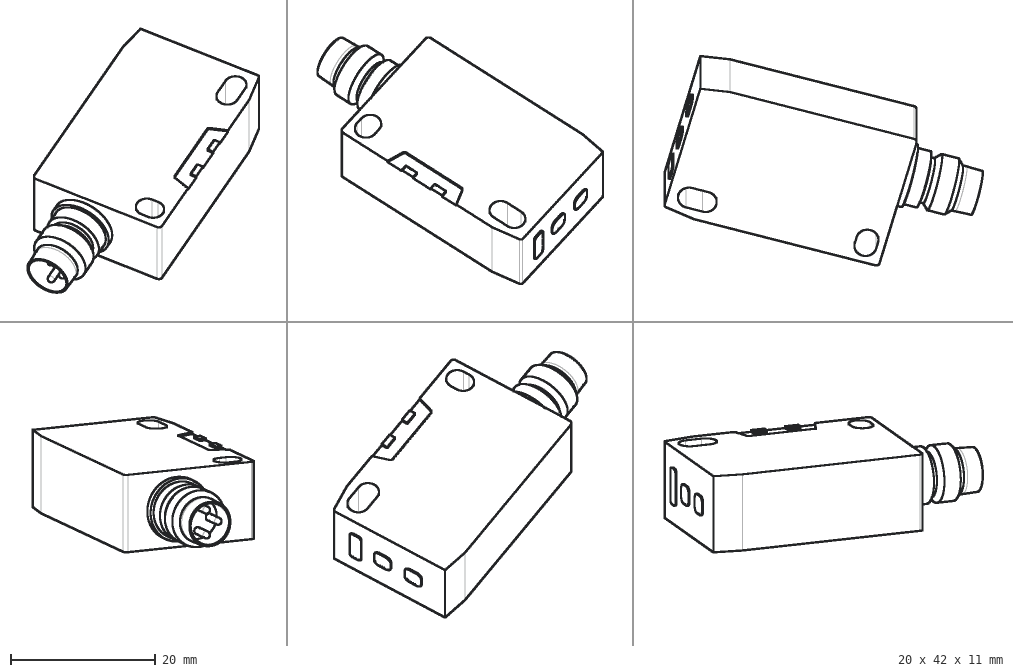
import cadquery as cq

overall_length = 42.05
body_width = 20.0
body_length = 31.1
body_height = 11.0
mid_height = body_height / 2
rear_corner_radius = 0.5
left_taper_inset = 0.65
left_taper_length = 4.08
right_taper_inset = 0.75
right_taper_length = 4.55
front_corner_radius = 0.35

slot_x = 17.02
slot_width = 3.05
front_slot_y = 26.95
front_slot_length = 5.45
rear_slot_y = 2.6
rear_slot_length = 4.05

recess_y = 14.3
recess_depth = 0.25
recess_reach = 2.7
recess_mouth_length = 11.98
recess_floor_length = 10.17
recess_corner_radius = 0.35

lamp_reach = 0.92
lamp_length = 1.98
lamp_count = 2
lamp_pitch = 5.05
lamp_height = recess_depth

window_thickness = 0.15
windows = [
    (5.9, 2.77, 2.77, 0.85),
    (10.95, 2.77, 2.77, 0.85),
    (15.45, 1.95, 5.3, 0.6),
]

plug_x = 8.0
plug_length = overall_length - body_length - window_thickness
flange_radius = 4.5
flange_end = 1.05
barrel_radius = 4.05
barrel_end = 3.1
neck_radius = 3.25
neck_start = 3.28
neck_end = 3.85
ring_chamfer = barrel_radius - neck_radius
ring_start = neck_end + ring_chamfer
ring_end = 7.1
nose_start = ring_end + ring_chamfer
nose_taper_start = 8.45
nose_tip_radius = 3.15

socket_radius = 2.95
socket_depth = 4.0
pin_radius = 0.5
pin_offset = 1.75
pin_recess = 0.65
pin_positions = [(0, pin_offset), (0, -pin_offset), (pin_offset, 0)]


def make_housing():
    outline = [
        (0, 0),
        (body_width, 0),
        (body_width, body_length - right_taper_length),
        (body_width - right_taper_inset, body_length),
        (left_taper_inset, body_length),
        (0, body_length - left_taper_length),
    ]
    housing = cq.Workplane("XY").polyline(outline).close().extrude(body_height)
    housing = housing.edges("|Z and <Y").fillet(rear_corner_radius)
    front_right_corner = cq.selectors.NearestToPointSelector(
        (body_width - right_taper_inset, body_length, mid_height)
    )
    return housing.edges("|Z").edges(front_right_corner).fillet(front_corner_radius)


def make_slot(y, length, angle):
    return (
        cq.Workplane("XY")
        .center(slot_x, y)
        .slot2D(length, slot_width, angle)
        .extrude(body_height)
    )


def make_recess():
    inner_x = body_width - recess_reach
    outline = [
        (body_width, recess_y - recess_mouth_length / 2),
        (body_width, recess_y + recess_mouth_length / 2),
        (inner_x, recess_y + recess_floor_length / 2),
        (inner_x, recess_y - recess_floor_length / 2),
    ]
    recess = (
        cq.Workplane("XY", origin=(0, 0, body_height - recess_depth))
        .polyline(outline)
        .close()
        .extrude(recess_depth)
    )
    return recess.edges("|Z and <X").fillet(recess_corner_radius)


def make_lamps():
    return (
        cq.Workplane("XY", origin=(body_width - lamp_reach / 2, recess_y, body_height - recess_depth))
        .rarray(0.4, lamp_pitch, 1, lamp_count)
        .rect(lamp_reach, lamp_length)
        .extrude(lamp_height)
    )


def make_window(x, width, height, corner_radius):
    window = cq.Workplane("XY").box(width, window_thickness, height)
    window = window.edges("|Y").fillet(corner_radius)
    return window.translate((x, body_length + window_thickness / 2, mid_height))


def make_plug():
    half_profile = [
        (0, 0),
        (flange_radius, 0),
        (flange_radius, -flange_end),
        (barrel_radius, -flange_end),
        (barrel_radius, -barrel_end),
        (neck_radius, -neck_start),
        (neck_radius, -neck_end),
        (barrel_radius, -ring_start),
        (barrel_radius, -ring_end),
        (neck_radius, -nose_start),
        (neck_radius, -nose_taper_start),
        (nose_tip_radius, -plug_length),
        (socket_radius, -plug_length),
        (socket_radius, socket_depth - plug_length),
        (0, socket_depth - plug_length),
    ]
    plug = cq.Workplane("XY").polyline(half_profile).close().revolve(360, (0, 0), (0, 1))
    pins = (
        cq.Workplane("XZ", origin=(0, socket_depth - plug_length, 0))
        .pushPoints(pin_positions)
        .circle(pin_radius)
        .extrude(socket_depth - pin_recess - pin_radius)
    )
    pin_tips = (
        cq.Workplane("XZ", origin=(0, pin_recess + pin_radius - plug_length, 0))
        .pushPoints(pin_positions)
        .sphere(pin_radius)
    )
    return plug.union(pins).union(pin_tips).translate((plug_x, 0, mid_height))


result = make_housing()
result = result.cut(make_slot(front_slot_y, front_slot_length, 90))
result = result.cut(make_slot(rear_slot_y, rear_slot_length, 0))
result = result.cut(make_recess()).union(make_lamps())
for window in windows:
    result = result.union(make_window(*window))
result = result.union(make_plug())